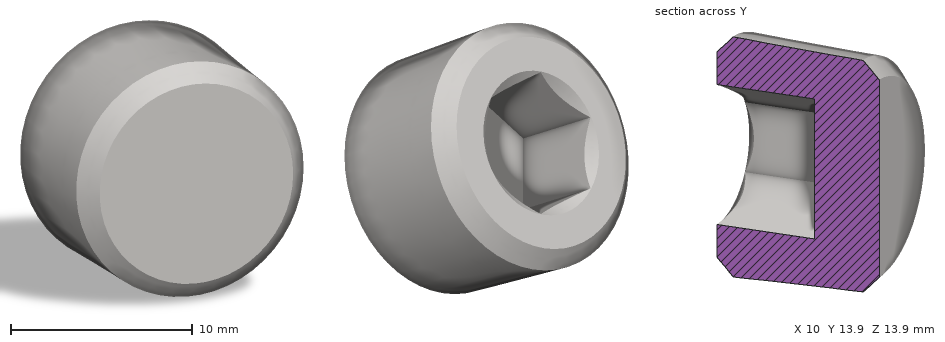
import cadquery as cq
import math

length = 10.0
large_diameter = 13.94
taper = 1 / 16
chamfer = 1.0
hex_across_flats = 7.0
socket_depth = 6.0
countersink_diameter = 8.14
countersink_half_angle = 45.0

large_radius = large_diameter / 2
small_radius = large_radius - (length - 2 * chamfer) * taper / 2


def make_body():
    """Revolve the tapered profile with a chamfer at each end."""
    profile = [
        (0, 0),
        (0, large_radius - chamfer),
        (chamfer, large_radius),
        (length - chamfer, small_radius),
        (length, small_radius - chamfer),
        (length, 0),
    ]
    return cq.Workplane("XY").polyline(profile).close().revolve(360, (0, 0), (1, 0))


def make_hex_socket():
    """Hexagonal prism with two corners on the Z axis."""
    across_corners = hex_across_flats / math.cos(math.pi / 6)
    corner_turn = 90
    return (
        cq.Workplane("YZ")
        .transformed(rotate=(0, 0, corner_turn))
        .polygon(6, across_corners)
        .extrude(socket_depth)
    )


def make_countersink():
    """Full cone that breaks the mouth of the socket."""
    mouth_radius = countersink_diameter / 2
    cone_depth = mouth_radius / math.tan(math.radians(countersink_half_angle))
    mouth_center = cq.Vector(0, 0, 0)
    into_part = cq.Vector(1, 0, 0)
    tip_radius = 0
    return cq.Workplane(cq.Solid.makeCone(mouth_radius, tip_radius, cone_depth, mouth_center, into_part))


result = make_body().cut(make_hex_socket()).cut(make_countersink())